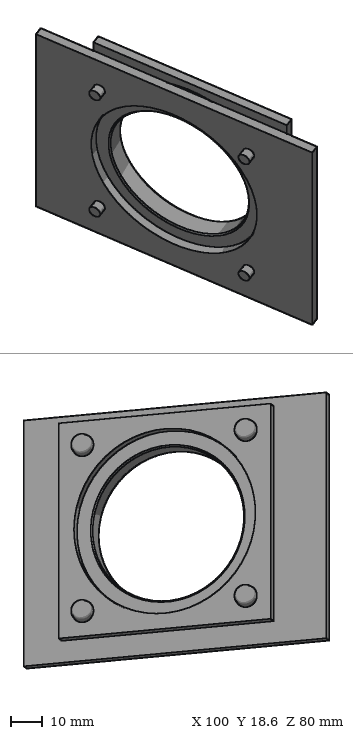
import cadquery as cq

FRONT_WIDTH = 100.0
FRONT_HEIGHT = 80.0
PLATE_THICKNESS = 3.0

BACK_SIDE = 70.0

WINDOW_DIAMETER = 60.0

RING_OUTER_DIAMETER = 65.0
RING_BORE_DIAMETER = 50.0
RING_WIDTH = 7.0
RING_EDGE_CHAMFER = 0.5

BOLT_SPACING = 54.0
BOLT_DIAMETER = 4.0
BOLT_PROTRUSION = 3.0
HEAD_BASE_DIAMETER = 7.0
HEAD_HEIGHT = 2.6
HEAD_TAPER_DEGREES = 5.0
HEAD_EDGE_RADIUS = 1.0

RING_FRONT = PLATE_THICKNESS
BACK_PLATE_FRONT = RING_FRONT + RING_WIDTH
BACK_PLATE_REAR = BACK_PLATE_FRONT + PLATE_THICKNESS


def facing_back(y):
    """XZ workplane at the given Y, extruding toward +Y (its local y axis is -Z)."""
    return cq.Workplane(cq.Plane(origin=(0, y, 0), xDir=(1, 0, 0), normal=(0, 1, 0)))


def make_plate(width, height, front_y):
    """Rectangular plate with a round window and four bolt holes."""
    plate = facing_back(front_y).rect(width, height).extrude(PLATE_THICKNESS)
    window = facing_back(front_y).circle(WINDOW_DIAMETER / 2).extrude(PLATE_THICKNESS)
    bolt_holes = (
        facing_back(front_y)
        .rect(BOLT_SPACING, BOLT_SPACING, forConstruction=True)
        .vertices()
        .circle(BOLT_DIAMETER / 2)
        .extrude(PLATE_THICKNESS)
    )
    return plate.cut(window).cut(bolt_holes)


def make_ring():
    """Plain ring with all four circular edges chamfered."""
    return (
        facing_back(RING_FRONT)
        .circle(RING_OUTER_DIAMETER / 2)
        .circle(RING_BORE_DIAMETER / 2)
        .extrude(RING_WIDTH)
        .faces("<Y or >Y")
        .edges()
        .chamfer(RING_EDGE_CHAMFER)
    )


def make_bolt(x, z):
    """Bolt along Y: plain shank and a slightly tapered, round-edged head."""
    shank = (
        facing_back(-BOLT_PROTRUSION)
        .circle(BOLT_DIAMETER / 2)
        .extrude(BOLT_PROTRUSION + BACK_PLATE_REAR)
    )
    head = (
        facing_back(BACK_PLATE_REAR)
        .circle(HEAD_BASE_DIAMETER / 2)
        .extrude(HEAD_HEIGHT, taper=HEAD_TAPER_DEGREES)
        .faces(">Y")
        .edges()
        .fillet(HEAD_EDGE_RADIUS)
    )
    return shank.union(head).translate((x, 0, z))


front_plate = make_plate(FRONT_WIDTH, FRONT_HEIGHT, 0)
back_plate = make_plate(BACK_SIDE, BACK_SIDE, BACK_PLATE_FRONT)
ring = make_ring()

bolt_offset = BOLT_SPACING / 2
bolts = []
for x in (-bolt_offset, bolt_offset):
    for z in (-bolt_offset, bolt_offset):
        bolts.append(make_bolt(x, z).val())

result = cq.Compound.makeCompound([front_plate.val(), back_plate.val(), ring.val(), *bolts])